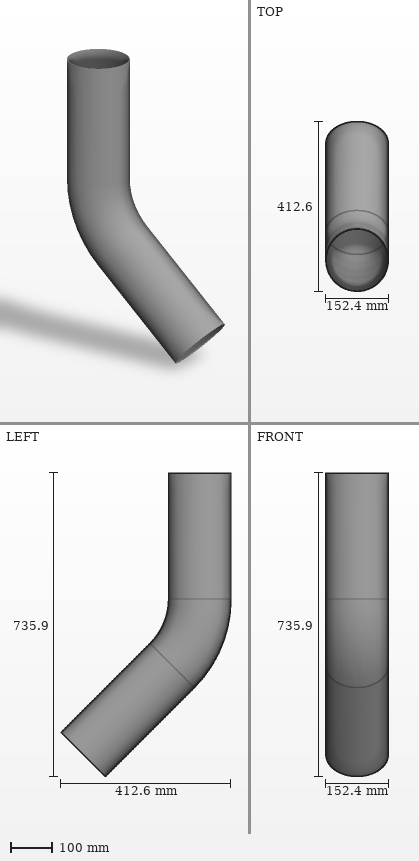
import cadquery as cq
import math

outer_diameter = 152.4
inner_diameter = 149.2
leg_length = 2 * outer_diameter
bend_radius = 1.5 * outer_diameter
bend_angle = 45.0


def bend_point(angle_degrees):
    """Centreline point (y, z) of the bend, starting at the origin and heading down."""
    angle = math.radians(angle_degrees)
    return (bend_radius * (1 - math.cos(angle)), -bend_radius * math.sin(angle))


bend_middle = bend_point(bend_angle / 2)
bend_end = bend_point(bend_angle)
slope = math.radians(bend_angle)
lower_end = (
    bend_end[0] + leg_length * math.sin(slope),
    bend_end[1] - leg_length * math.cos(slope),
)

centreline = (
    cq.Workplane("YZ")
    .moveTo(0, leg_length)
    .lineTo(0, 0)
    .threePointArc(bend_middle, bend_end)
    .lineTo(*lower_end)
)

result = (
    cq.Workplane("XY", origin=(0, 0, leg_length))
    .circle(outer_diameter / 2)
    .circle(inner_diameter / 2)
    .sweep(centreline)
)